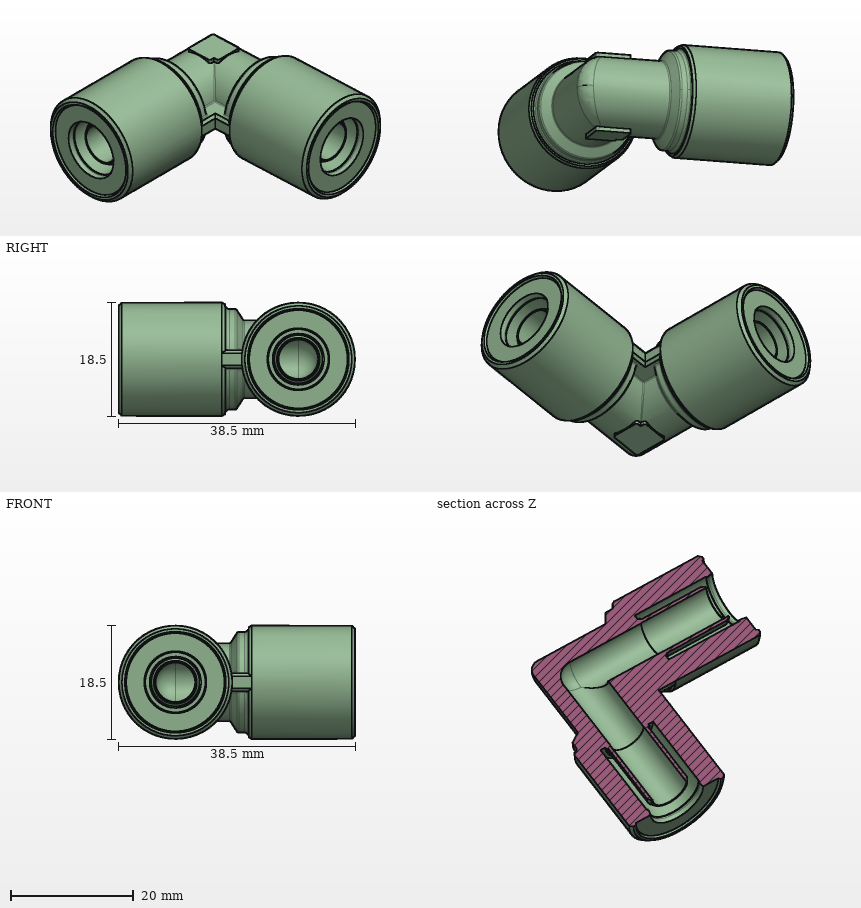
import cadquery as cq
import math

overall_length = 38.55
hub_diameter = 18.5
hub_radius = hub_diameter / 2
leg_length = overall_length - hub_radius

tube_radius = 6.35
corner_fillet = 2.12
tube_end = 8.95
tube_fillet = 0.27
collar_radius = 8.2
collar_start = 10.15
collar_start_fillet = 0.4
collar_end = 11.53
collar_end_fillet = 0.7
hub_start = 11.95
hub_start_chamfer_length = 0.5
hub_start_chamfer_height = 0.27
hub_step_radius = collar_radius + hub_start - collar_end
rim_chamfer = 0.55

recess_rim_radius = 8.25
recess_floor_radius = 16.0 / 2
recess_depth = 0.4

socket_radius = 10.15 / 2
lip_radius = 4.9
lip_cone_depth = 0.85
lip_depth = 1.25
socket_depth = 15.42

sleeve_radius = 7.85 / 2
sleeve_tip_radius = 3.5
sleeve_bore_radius = 6.5 / 2
sleeve_tip_depth = 2.7
sleeve_taper_length = 0.7
sleeve_foot_radius = 4.2
sleeve_foot_height = 0.4

passage_radius = 6.45 / 2

pad_height = 6.55
pad_near = 3.55
pad_far = 2.43
pad_notch = 0.95
pad_rounding = 0.4

web_thickness = 3.0
web_edge_chamfer = 0.5
web_end = hub_start + hub_start_chamfer_length
web_fillet = 0.2

pick_margin = 0.05


def revolve_about_x(points):
    """Solid of revolution from (distance along X, radius) points."""
    return cq.Workplane("XY").polyline(points).close().revolve(360, (0, 0, 0), (1, 0, 0))


def to_y_leg(solid):
    """Copy of a +X leg feature on the -Y leg, mirrored in the mitre plane."""
    return solid.mirror("XZ").rotate((0, 0, 0), (0, 0, 1), -90)


def make_elbow():
    """Two tubes joined on a mitre, with flat pads and a rounded outer corner."""
    tube_start = cq.Workplane("YZ").workplane(offset=-tube_radius)
    tube = tube_start.circle(tube_radius).extrude(tube_radius + tube_end)
    mitre_side = (
        cq.Workplane("XY")
        .polyline([(-tube_end, tube_end), (tube_end, tube_end), (tube_end, -tube_end)])
        .close()
        .extrude(tube_radius, both=True)
    )
    leg = tube.intersect(mitre_side)
    sharp_elbow = leg.union(to_y_leg(leg)).union(make_pads())
    outer_corner = cq.selectors.BoxSelector((-tube_radius, 0, -pad_height), (0, tube_radius, pad_height))
    mitre_edges = sharp_elbow.edges(outer_corner).edges("%ELLIPSE")
    return mitre_edges.fillet(corner_fillet)


def make_pads():
    """Rounded square pads with the corner above the inner mitre notched out."""
    notch = pad_near - pad_notch
    outline = [
        (-pad_far, pad_far),
        (pad_near, pad_far),
        (pad_near, -notch),
        (notch, -notch),
        (notch, -pad_near),
        (-pad_far, -pad_near),
    ]
    pads = cq.Workplane("XY").polyline(outline).close().extrude(pad_height, both=True)
    notch_corner = cq.selectors.NearestToPointSelector((notch, -notch, 0))
    outer_corners = pads.edges("|Z").edges(cq.selectors.InverseSelector(notch_corner))
    return outer_corners.fillet(pad_rounding)


def fillet_ring(solid, station, radius):
    """Round the circular edge at a station along X."""
    reach = 2 * hub_radius
    slab = cq.selectors.BoxSelector(
        (station - pick_margin, -reach, -reach),
        (station + pick_margin, reach, reach),
        boundingbox=True,
    )
    return solid.edges(slab).fillet(radius)


def make_hub():
    """Collar and hub of the +X leg, with a shallow recess in the end face."""
    recess_floor = leg_length - recess_depth
    hub = revolve_about_x(
        [
            (tube_radius, 0),
            (tube_radius, tube_radius),
            (tube_end, tube_radius),
            (collar_start, collar_radius),
            (collar_end, collar_radius),
            (hub_start, hub_step_radius),
            (hub_start, hub_radius - hub_start_chamfer_height),
            (hub_start + hub_start_chamfer_length, hub_radius),
            (leg_length - rim_chamfer, hub_radius),
            (leg_length, hub_radius - rim_chamfer),
            (leg_length, recess_rim_radius),
            (recess_floor, recess_floor_radius),
            (recess_floor, 0),
        ]
    )
    hub = fillet_ring(hub, tube_end, tube_fillet)
    hub = fillet_ring(hub, collar_start, collar_start_fillet)
    return fillet_ring(hub, collar_end, collar_end_fillet)


def make_web():
    """L-shaped web in the inner corner, chamfered along its two free sides."""
    outline = [
        (0, 0),
        (web_end, 0),
        (web_end, -hub_radius),
        (hub_radius, -hub_radius),
        (hub_radius, -web_end),
        (0, -web_end),
    ]
    web = cq.Workplane("XY").polyline(outline).close().extrude(web_thickness / 2, both=True)
    free_middle = (hub_radius + web_end) / 2
    x_leg_side = web.faces(cq.selectors.NearestToPointSelector((free_middle, -hub_radius, 0)))
    y_leg_side = web.faces(cq.selectors.NearestToPointSelector((hub_radius, -free_middle, 0)))
    free_edges = x_leg_side.edges("|X").add(y_leg_side.edges("|Y"))
    return free_edges.chamfer(web_edge_chamfer)


def blend_inner_corner(body):
    """Round the inner mitre and the foot of the web, stopping short of the hubs and the free sides."""
    clearance = 0.1
    foot_start = math.sqrt(tube_radius**2 - (web_thickness / 2) ** 2) - clearance
    foot_end = hub_start - clearance
    foot_outside = hub_radius - web_edge_chamfer - clearance
    inner_mitre = cq.selectors.BoxSelector(
        (0, 0, -tube_radius), (tube_radius, -tube_radius, tube_radius)
    )
    edges = body.edges("%ELLIPSE").edges(inner_mitre)
    for level in (-web_thickness / 2, web_thickness / 2):
        bottom = level - pick_margin
        top = level + pick_margin
        corner = (foot_start, -foot_start, bottom)
        x_leg_foot = cq.selectors.BoxSelector(corner, (foot_end, -foot_outside, top))
        y_leg_foot = cq.selectors.BoxSelector(corner, (foot_outside, -foot_end, top))
        edges = edges.add(body.edges(x_leg_foot)).add(body.edges(y_leg_foot))
    return edges.fillet(web_fillet)


def make_socket():
    """Space cut out of the +X leg: tube socket around the support sleeve, and the sleeve bore."""
    face = leg_length - recess_depth
    floor = leg_length - socket_depth
    tip = leg_length - sleeve_tip_depth
    socket = revolve_about_x(
        [
            (floor, sleeve_foot_radius),
            (floor, socket_radius),
            (face - lip_depth, socket_radius),
            (face - lip_depth, lip_radius),
            (face - lip_cone_depth, lip_radius),
            (face, socket_radius),
            (leg_length, socket_radius),
            (leg_length, 0),
            (tip, 0),
            (tip, sleeve_tip_radius),
            (tip - sleeve_taper_length, sleeve_radius),
            (floor + sleeve_foot_height, sleeve_radius),
            (floor + sleeve_foot_height, sleeve_foot_radius),
        ]
    )
    sleeve_bore = cq.Workplane("YZ").workplane(offset=floor).circle(sleeve_bore_radius).extrude(socket_depth)
    passage = cq.Workplane("YZ").circle(passage_radius).extrude(floor)
    return socket.union(sleeve_bore).union(passage)


hub = make_hub()
body = make_elbow().union(make_web()).union(hub).union(to_y_leg(hub))
body = blend_inner_corner(body)

socket = make_socket()
elbow_ball = cq.Workplane("XY").sphere(passage_radius)
result = body.cut(socket).cut(to_y_leg(socket)).cut(elbow_ball)